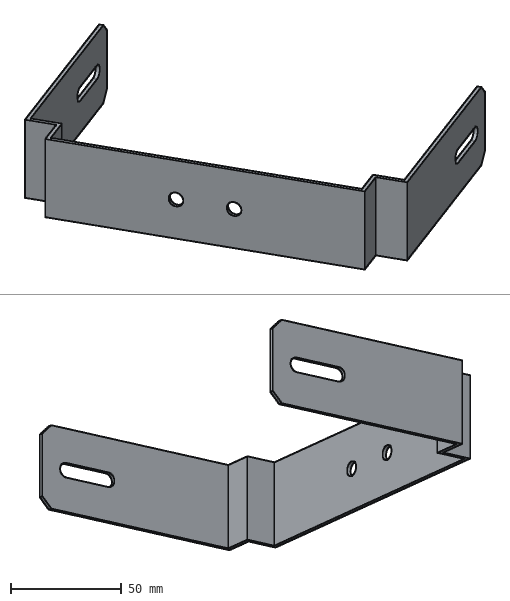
import cadquery as cq

width = 184.0
depth = 120.0
height = 40.0
thickness = 2.0

step_width = 15.0
step_depth = 14.9

hole_diameter = 7.0
hole_spacing = 28.0
slot_length = 30.0
slot_width = hole_diameter
slot_end_gap = 10.0
corner_chamfer = 5.0

half_width = width / 2
front_y = -depth / 2
back_y = depth / 2
ledge_y = front_y + step_depth
front_half_width = half_width - step_width


def bent_strip():
    """Sheet folded into a stepped U, open towards +Y, centred on the origin."""
    right_half = [
        (front_half_width, front_y),
        (front_half_width, ledge_y),
        (half_width, ledge_y),
        (half_width, back_y),
        (half_width - thickness, back_y),
        (half_width - thickness, ledge_y + thickness),
        (front_half_width - thickness, ledge_y + thickness),
        (front_half_width - thickness, front_y + thickness),
    ]
    left_half = [(-x, y) for x, y in reversed(right_half)]
    outline = cq.Workplane("XY").polyline(right_half + left_half).close()
    return outline.extrude(height / 2, both=True)


def front_holes():
    """Pair of round holes through the front plate."""
    return (
        cq.Workplane("XZ")
        .pushPoints([(-hole_spacing / 2, 0), (hole_spacing / 2, 0)])
        .circle(hole_diameter / 2)
        .extrude(depth, both=True)
    )


def arm_slots():
    """Slot along Y through both side arms."""
    slot_y = back_y - slot_end_gap - slot_length / 2
    return (
        cq.Workplane("YZ")
        .center(slot_y, 0)
        .slot2D(slot_length, slot_width)
        .extrude(width, both=True)
    )


bracket = bent_strip().faces(">Y").edges("|X").chamfer(corner_chamfer)

result = bracket.cut(front_holes()).cut(arm_slots())